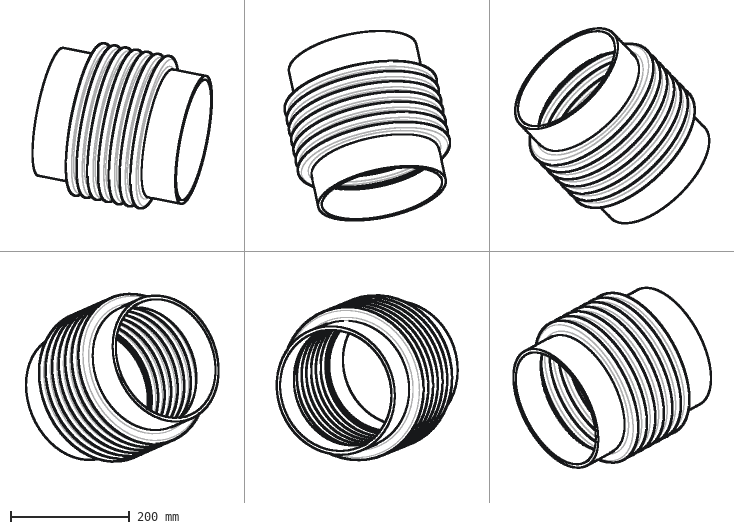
import cadquery as cq

length = 250.0
crest_radius = 262 / 2
pipe_outer_radius = 219.5 / 2
pipe_bore_radius = 206.5 / 2

convolution_count = 7
pitch = 18.9
crest_width = 10.7
wall = 1.0
root_outer_radius = pipe_outer_radius
root_inner_radius = root_outer_radius - wall
bellows_length = convolution_count * pitch

recess_radius = 211.0 / 2
recess_depth = 4.2


def bellows_solid(crest, root, fold_width):
    """Solid of revolution under one skin of the bellows, filled to the axis."""
    crest_arc = fold_width / 2
    root_arc = (pitch - fold_width) / 2
    diagonal = 0.5 ** 0.5
    x_start = -bellows_length / 2
    profile = cq.Workplane("XY").moveTo(x_start, 0).lineTo(x_start, root)
    for index in range(convolution_count):
        x_left = x_start + index * pitch
        x_crest = x_left + pitch / 2
        x_right = x_left + pitch
        root_center = root + root_arc
        crest_center = crest - crest_arc
        profile = (
            profile
            .threePointArc(
                (x_left + root_arc * diagonal, root_center - root_arc * diagonal),
                (x_left + root_arc, root_center),
            )
            .lineTo(x_crest - crest_arc, crest_center)
            .threePointArc((x_crest, crest), (x_crest + crest_arc, crest_center))
            .lineTo(x_right - root_arc, root_center)
            .threePointArc(
                (x_right - root_arc * diagonal, root_center - root_arc * diagonal),
                (x_right, root),
            )
        )
    profile = profile.lineTo(-x_start, 0).close()
    return profile.revolve(360, (0, 0, 0), (1, 0, 0))


def end_pipe():
    """Pipe at the -X end, with its recessed bore."""
    inner_end = -bellows_length / 2
    profile = [
        (-length / 2, pipe_bore_radius),
        (inner_end - recess_depth, pipe_bore_radius),
        (inner_end - recess_depth, recess_radius),
        (inner_end, recess_radius),
        (inner_end, pipe_outer_radius),
        (-length / 2, pipe_outer_radius),
    ]
    return cq.Workplane("XY").polyline(profile).close().revolve(360, (0, 0, 0), (1, 0, 0))


outer_skin = bellows_solid(crest_radius, root_outer_radius, crest_width)
inner_skin = bellows_solid(crest_radius - wall, root_inner_radius, crest_width - 2 * wall)
bellows = outer_skin.cut(inner_skin)

left_pipe = end_pipe()
result = bellows.union(left_pipe).union(left_pipe.mirror("YZ"))